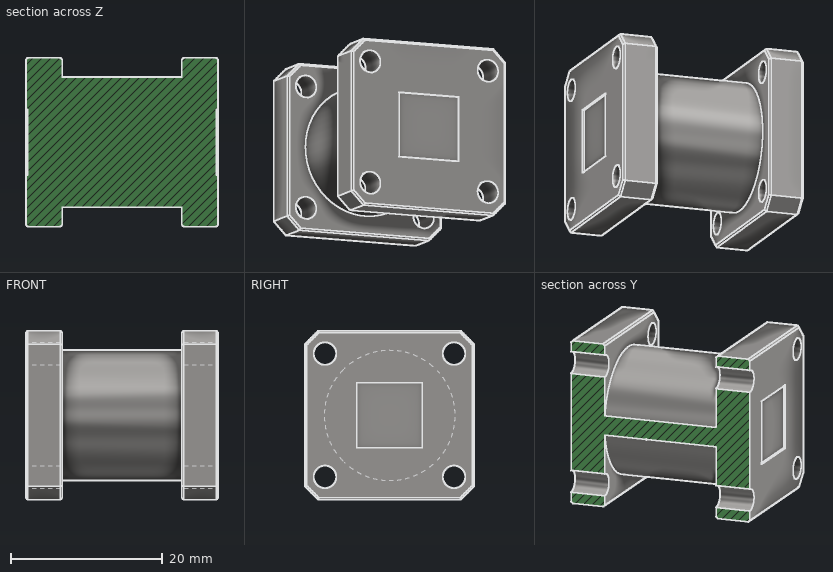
import cadquery as cq

length = 25.4
flange_size = 22.35

flange_thickness = 4.826
corner_chamfer = 1.778
edge_chamfer = 0.254

barrel_diameter = 17.25
barrel_length = length - 2 * flange_thickness

hole_diameter = 2.95
hole_spacing_y = 17.04
hole_spacing_z = 16.28

recess_size = 8.636
recess_depth = 0.254


def make_flange():
    """Left-hand flange, with its outer face at the -X end of the part."""
    center_x = -(length - flange_thickness) / 2
    flange = (
        cq.Workplane("XY")
        .box(flange_thickness, flange_size, flange_size)
        .edges("|X")
        .chamfer(corner_chamfer)
        .faces("<X or >X")
        .edges()
        .chamfer(edge_chamfer)
    )
    holes = (
        cq.Workplane("YZ")
        .rect(hole_spacing_y, hole_spacing_z, forConstruction=True)
        .vertices()
        .circle(hole_diameter / 2)
        .extrude(flange_thickness, both=True)
    )
    recess = (
        cq.Workplane("YZ", origin=(-flange_thickness / 2, 0, 0))
        .rect(recess_size, recess_size)
        .extrude(recess_depth)
    )
    return flange.cut(holes).cut(recess).translate((center_x, 0, 0))


def make_barrel():
    """Solid cylinder joining the two flanges."""
    return (
        cq.Workplane("YZ", origin=(-barrel_length / 2, 0, 0))
        .circle(barrel_diameter / 2)
        .extrude(barrel_length)
    )


left_flange = make_flange()
right_flange = left_flange.mirror("YZ")

result = make_barrel().union(left_flange).union(right_flange)